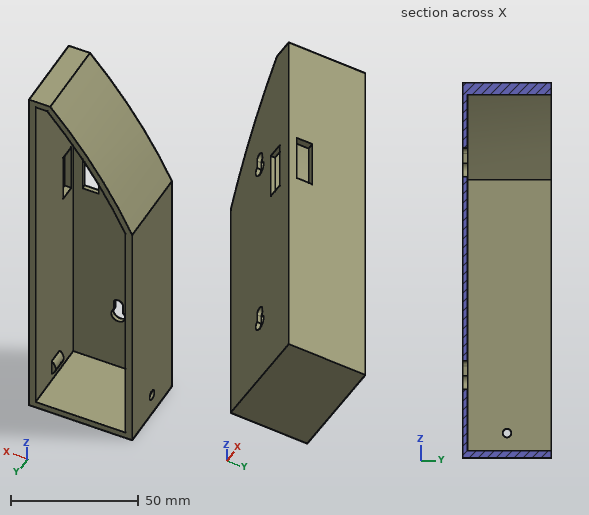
import cadquery as cq

width = 45.5
depth = 35.0
height = 164.0
side_wall = 3.0
front_wall = 2.0

shoulder_height = 110.2
top_flat = 9.3
shoulder_radius = 219.8

keyhole_head_diameter = 6.0
keyhole_neck_diameter = 4.1
keyhole_rise = 6.0
keyhole_x = width / 2
keyhole_heights = (30.2, 113.8)

slot_width = 7.0
slot_bottom = 92.0
slot_top = 113.8
front_slot_x = width - 1.5 * slot_width
side_slot_y = 7.2

screw_height = 9.8
screw_head_diameter = 4.1
screw_hole_diameter = 3.3
screw_head_depth = side_wall / 2
rib_radius = 4.0
rib_length = 7.0
rib_axis_inset = 0.8
rib_axis_x = width - rib_axis_inset


def block(x_range, y_range, z_range):
    """Axis-aligned box spanning the given (low, high) ranges."""
    low = [r[0] for r in (x_range, y_range, z_range)]
    size = [r[1] - r[0] for r in (x_range, y_range, z_range)]
    return cq.Workplane("XY").box(*size, centered=False).translate(tuple(low))


def along_y(start_y):
    """XZ sketch plane at start_y; a negative extrusion runs toward +Y."""
    return cq.Workplane(cq.Plane((0, start_y, 0), xDir=(1, 0, 0), normal=(0, -1, 0)))


def case_profile(inset):
    """XZ outline of the case, moved inward by inset."""
    shoulder_start = (0, shoulder_height)
    shoulder_end = (width - top_flat, height)
    run = shoulder_end[0] - shoulder_start[0]
    rise = shoulder_end[1] - shoulder_start[1]
    half_chord = (run**2 + rise**2) ** 0.5 / 2
    sagitta = shoulder_radius - (shoulder_radius**2 - half_chord**2) ** 0.5
    outline = (
        along_y(0)
        .moveTo(0, 0)
        .lineTo(*shoulder_start)
        .sagittaArc(shoulder_end, sagitta)
        .lineTo(width, height)
        .lineTo(width, 0)
        .close()
    )
    return outline.offset2D(-inset, "intersection") if inset else outline


def case_shell():
    outer = case_profile(0).extrude(-depth)
    cavity = case_profile(side_wall).extrude(-depth).translate((0, front_wall, 0))
    return outer.cut(cavity)


def keyhole(head_z):
    """Round head with a narrower round-topped neck above it."""
    neck_z = head_z + keyhole_rise
    head = along_y(0).center(keyhole_x, head_z).circle(keyhole_head_diameter / 2)
    neck_end = along_y(0).center(keyhole_x, neck_z).circle(keyhole_neck_diameter / 2)
    neck = along_y(0).center(keyhole_x, (head_z + neck_z) / 2).rect(keyhole_neck_diameter, keyhole_rise)
    cutter = head.extrude(-front_wall)
    for shape in (neck_end, neck):
        cutter = cutter.union(shape.extrude(-front_wall))
    return cutter


def front_slot():
    half = slot_width / 2
    return block((front_slot_x - half, front_slot_x + half), (0, front_wall), (slot_bottom, slot_top))


def side_slot():
    half = slot_width / 2
    return block((width - side_wall, width), (side_slot_y - half, side_slot_y + half), (slot_bottom, slot_top))


def screw_hole():
    plane = cq.Workplane("YZ").center(depth / 2, screw_height)
    hole = plane.circle(screw_hole_diameter / 2).extrude(side_wall)
    head = plane.circle(screw_head_diameter / 2).extrude(screw_head_depth)
    return hole.union(head)


def rib():
    """Rounded rib on the inside of the right wall, trimmed flush with its outer face."""
    start_y = (depth - rib_length) / 2
    bar = along_y(start_y).center(rib_axis_x, screw_height).circle(rib_radius).extrude(-rib_length)
    return bar.intersect(block((0, width), (0, depth), (0, height)))


result = case_shell().union(rib())
for head_z in keyhole_heights:
    result = result.cut(keyhole(head_z))
result = result.cut(front_slot()).cut(side_slot()).cut(screw_hole())